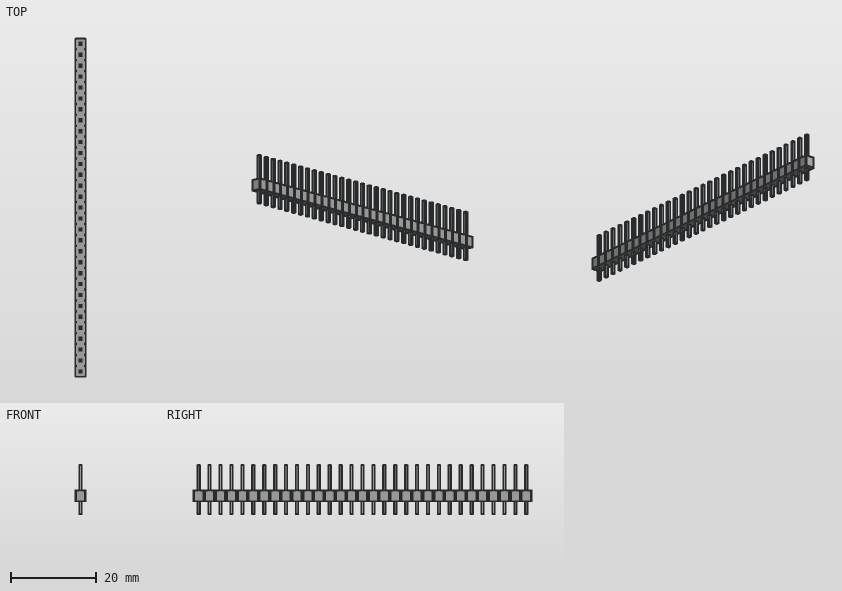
import cadquery as cq

pin_count = 31
row_length = 78.75
pitch = row_length / pin_count

housing_width = 2.5
housing_height = 2.5
housing_chamfer = 0.25

pin_side = 0.64
pin_above = 6.0
pin_total = 11.6
pin_bottom = housing_height + pin_above - pin_total
tip_chamfer = 0.15

pin_positions = [(0, (i - (pin_count - 1) / 2) * pitch) for i in range(pin_count)]


def housing_block(location):
    """One pitch of the housing, its four upright edges chamfered."""
    block = (
        cq.Workplane("XY")
        .box(housing_width, pitch, housing_height, centered=(True, True, False))
        .edges("|Z")
        .chamfer(housing_chamfer)
    )
    return block.val().moved(location)


def pin(location):
    """One square pin with chamfered tips at both ends."""
    post = (
        cq.Workplane("XY", origin=(0, 0, pin_bottom))
        .box(pin_side, pin_side, pin_total, centered=(True, True, False))
        .faces("<Z or >Z")
        .chamfer(tip_chamfer)
    )
    return post.val().moved(location)


row = cq.Workplane("XY").pushPoints(pin_positions)
housing = row.eachpoint(housing_block, combine=False).combine()
pins = row.eachpoint(pin, combine=False)
result = housing.union(pins)